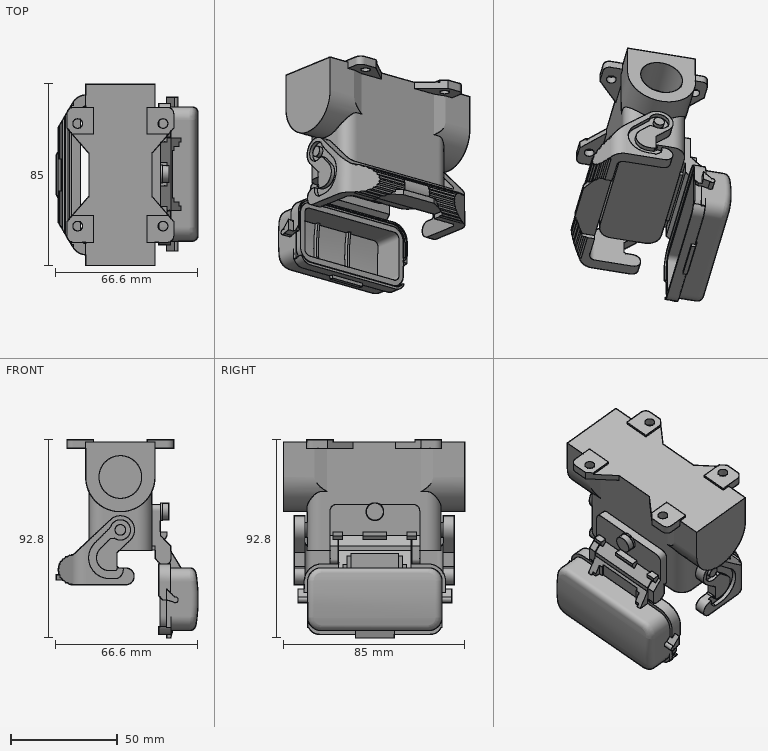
import cadquery as cq
import math


BODY_HALF_X = 14.75
BODY_HALF_Y = 31.35
BODY_BOTTOM = -51.0
BODY_CORNER_R = 6.5

ENTRY_HALF_X = 16.25
ENTRY_HALF_Y = 42.5
ENTRY_AXIS_Z = -16.5
ENTRY_STEP_Y = 27.7
ENTRY_MERGE_Y = 22.0
CABLE_HOLE_R = 10.0
CABLE_HOLE_DEPTH = 17.5

PLATE_THICKNESS = 3.15
PLATE_WAIST_Y = 10.0
PAD_HEIGHT = 1.0
PAD_INNER_X = 12.5
PAD_OUTER_X = 25.0
PAD_INNER_Y = 19.1
PAD_OUTER_Y = 31.6
PAD_SLOPE_Y = 21.9
PAD_CORNER_R = 3.0
MOUNT_HOLE_X = 20.0
MOUNT_HOLE_Y = 24.0
MOUNT_HOLE_D = 4.5

PIVOT_Z = -41.25
PIVOT_EYE_R = 6.65
PIVOT_PIN_R = 2.5
PIVOT_SPACER_R = 3.5
LEVER_HALF_Y = 37.5
LEVER_INNER_Y = 32.3
LEVER_INNER_X = -18.55
LEVER_INNER_R = 3.0
LEVER_CORNER_X = -15.8
LEVER_CORNER_R = 7.5
FACET_TURN = math.radians(59.4)
BAR_X = -22.0
BAR_Z = -59.9
BAR_R = 7.1
SLOT_X = -1.5
SLOT_TOP_Z = -51.9
HOOK_TOP_Z = -59.0
HOOK_TIP_X = 2.5
HOOK_CHAMFER = 0.7

TRACK_DEPTH = 2.0
TRACK_EYE_R = 4.75
TRACK_X = -5.1
TRACK_Z = -54.3
TRACK_OUTER_R = 9.75
TRACK_INNER_R = 6.05
TRACK_END_X = -1.6
TRACK_MOUTH_X = 1.3
TRACK_SHOULDER_Z = -45.2
TRACK_SHOULDER_X = -2.8

GROOVE_STEP = 15.0
GROOVE_DEPTH = 0.4
GROOVE_FIRST = 97.5
GROOVE_COUNT = 12
GROOVE_HALF_Y = 32.5
BADGE_HALF_Y = 7.5
BADGE_TOP_Z = -55.7
BADGE_BOTTOM_Z = -62.1

TAB_X = -30.1
TAB_HALF_Y = 9.2
TAB_TOP_Z = -62.2
TAB_BOTTOM_Z = -64.8
NOTCH_HALF_Y = 19.0
NOTCH_X = -24.5

COVER_Y = 0.35
COVER_BACK_X = 36.52
COVER_BACK_EDGE_X = 34.9
COVER_SPLIT_X = 21.6
COVER_FRONT_X = 18.55
COVER_TOP = -59.0
COVER_BOTTOM = -88.4
COVER_HALF_Y = 31.5
COVER_CORNER_R = 6.4
COVER_BACK_R = 3.0
FRONT_HALF_Y = 31.3

RIM_X = 17.9
HOOD_BACK_X = 23.4
HOOD_TOP = -57.14
HOOD_BOTTOM = -74.0
HOOD_HALF_Y = 33.1
HOOD_CORNER_R = 8.3
HOOD_CHAMFER = 1.9
HOOD_EDGE = 0.8
HOOD_RECESS_X = 18.8
LIP_BACK_X = 23.6
LIP_TOP = -86.5
LIP_BOTTOM = -90.2
LIP_CORNER_R = 5.6
LIP_GAP_BOTTOM = -89.0
LATCH_HALF_Y = 9.1
LATCH_BOTTOM = -91.85
LATCH_FRONT_X = 21.7
LATCH_SLANT = 0.9

CAVITY_HALF_Y = 28.6
CAVITY_TOP = -61.8
CAVITY_BOTTOM = -85.6
CAVITY_R = 3.0
COVER_WALL = 2.0
CAVITY_RIB_Y = 9.4
CAVITY_RIB_WIDTH = 1.2
CAVITY_RIB_HEIGHT = 2.0

PEG_HALF_Y = 36.0
PEG_TOP_Z = -68.8
PEG_TIP_X = 25.7
PEG_TIP_Z = -74.0
PEG_TIP_R = 1.35

BRACKET_FRONT_X = 18.75
BRACKET_TOP = -29.3
BRACKET_HALF_Y = 21.0
BRACKET_CORNER_R = 3.1
KNUCKLE_LEFT_X = 16.3
KNUCKLE_RIGHT_X = 23.6
KNUCKLE_TOP = -48.7
KNUCKLE_BOTTOM = -57.25
KNUCKLE_CORNER_X = 2.3
KNUCKLE_CORNER_Z = 2.6
KNUCKLE_ROUND_R = 2.1
KNUCKLE_HALF_Y = 17.0
JOINT_WIDTH = 0.3
SEAT_BOTTOM = -50.7
SEAT_HALF_Y = 15.0
STOP_X = 21.9
STOP_TOP = -42.2
STOP_EDGE_HEIGHT = 1.8
STOP_HEIGHT = 3.5
STOP_UNDERCUT = 1.1
STOP_HALF_Y = 5.5
SIDE_STOP_Y = (15.1, 19.5)
SCREW_Z = -32.7
SCREW_SHANK_R = 3.4
SCREW_HEAD_R = 4.0
SCREW_COLLAR_R = 4.15
SCREW_COLLAR_X = 19.7
SCREW_TOP_X = 22.75
GUSSET_TOP = -51.0
GUSSET_END_X = 28.4
GUSSET_STEPS = (
    (0, 11.1, 24.4),
    (11.1, 13.0, 25.1),
    (13.0, 14.9, 27.5),
    (14.9, KNUCKLE_HALF_Y, GUSSET_END_X),
)

OVERLAP = 0.5


def block(x0, x1, y0, y1, z0, z1):
    return cq.Workplane("XY").box(x1 - x0, y1 - y0, z1 - z0, centered=False).translate((x0, y0, z0))


def side_plane(y_max):
    """XZ sketch plane whose extrusions run from y_max towards -Y."""
    return cq.Workplane("XZ", origin=(0, y_max, 0))


def side_prism(points, y0, y1):
    return side_plane(y1).polyline(points).close().extrude(y1 - y0)


def rod_x(radius, y, z, x0, x1):
    return cq.Workplane("YZ", origin=(x0, y, z)).circle(radius).extrude(x1 - x0)


def rod_y(radius, x, z, y0, y1):
    return side_plane(y1).center(x, z).circle(radius).extrude(y1 - y0)


def cover_block(x0, x1, half_y, z0, z1, corner_r):
    """Block with corners rounded about X, centred on the cover."""
    sketch = cq.Workplane("YZ", origin=(x0, COVER_Y, (z0 + z1) / 2))
    return sketch.rect(2 * half_y, z1 - z0).extrude(x1 - x0).edges("|X").fillet(corner_r)


def both_sides(solid, y=0):
    return solid.union(solid.mirror("XZ", (0, y, 0)))


def make_housing():
    body = cq.Workplane("XY").rect(2 * BODY_HALF_X, 2 * BODY_HALF_Y).extrude(BODY_BOTTOM)
    body = body.edges("|Z").fillet(BODY_CORNER_R)

    entry = (
        side_plane(ENTRY_HALF_Y)
        .moveTo(-ENTRY_HALF_X, 0)
        .lineTo(-ENTRY_HALF_X, ENTRY_AXIS_Z)
        .threePointArc((0, ENTRY_AXIS_Z - ENTRY_HALF_X), (ENTRY_HALF_X, ENTRY_AXIS_Z))
        .lineTo(ENTRY_HALF_X, 0)
        .close()
        .extrude(2 * ENTRY_HALF_Y)
    )
    quarter = [
        (BODY_HALF_X, ENTRY_MERGE_Y),
        (ENTRY_HALF_X, ENTRY_STEP_Y),
        (ENTRY_HALF_X, ENTRY_HALF_Y),
    ]
    right = [(x, -y) for x, y in reversed(quarter)] + quarter
    left = [(-x, -y) for x, y in right]
    waisted = cq.Workplane("XY").polyline(right + left).close().extrude(BODY_BOTTOM)

    hole = rod_y(CABLE_HOLE_R, 0, ENTRY_AXIS_Z, -ENTRY_HALF_Y, CABLE_HOLE_DEPTH - ENTRY_HALF_Y)
    return body.union(entry.intersect(waisted)).union(make_mounting_feet()).cut(hole)


def make_mounting_feet():
    """Four feet joined to the top plate by sloping edges, each with a raised pad and a hole."""
    feet = None
    for sx in (-1, 1):
        for sy in (-1, 1):
            outline = [
                (0, PLATE_WAIST_Y),
                (BODY_HALF_X, PLATE_WAIST_Y),
                (PAD_OUTER_X, PAD_SLOPE_Y),
                (PAD_OUTER_X, PAD_OUTER_Y),
                (0, PAD_OUTER_Y),
            ]
            foot = cq.Workplane("XY", origin=(0, 0, -PLATE_THICKNESS))
            foot = foot.polyline([(sx * x, sy * y) for x, y in outline]).close()
            foot = foot.extrude(PLATE_THICKNESS + PAD_HEIGHT)
            foot = foot.edges("|Z").edges(
                cq.selectors.NearestToPointSelector((sx * PAD_OUTER_X, sy * PAD_OUTER_Y, 0))
            ).fillet(PAD_CORNER_R)
            pad_zone = block(PAD_INNER_X, PAD_OUTER_X, PAD_INNER_Y, PAD_OUTER_Y, 0, PAD_HEIGHT)
            plate_zone = block(0, PAD_OUTER_X, 0, PAD_OUTER_Y, -PLATE_THICKNESS, 0)
            zone = pad_zone.union(plate_zone)
            zone = zone if sx > 0 else zone.mirror("YZ")
            zone = zone if sy > 0 else zone.mirror("XZ")
            foot = foot.intersect(zone)
            hole = (
                cq.Workplane("XY", origin=(sx * MOUNT_HOLE_X, sy * MOUNT_HOLE_Y, -PLATE_THICKNESS))
                .circle(MOUNT_HOLE_D / 2)
                .extrude(PLATE_THICKNESS + PAD_HEIGHT)
            )
            foot = foot.cut(hole)
            feet = foot if feet is None else feet.union(foot)
    return feet


def make_lever_profile():
    """Side outline of the lever: pivot eye, arm with hook and round front bar."""
    hook_bottom = BAR_Z - BAR_R
    hook_r = (HOOK_TOP_Z - hook_bottom) / 2
    diagonal = PIVOT_EYE_R * math.sqrt(0.5)
    return (
        side_plane(LEVER_HALF_Y)
        .moveTo(diagonal, PIVOT_Z - diagonal)
        .lineTo(SLOT_X, SLOT_TOP_Z)
        .lineTo(SLOT_X, HOOK_TOP_Z + HOOK_CHAMFER)
        .lineTo(SLOT_X + HOOK_CHAMFER, HOOK_TOP_Z)
        .lineTo(HOOK_TIP_X, HOOK_TOP_Z)
        .threePointArc((HOOK_TIP_X + hook_r, HOOK_TOP_Z - hook_r), (HOOK_TIP_X, hook_bottom))
        .lineTo(BAR_X, hook_bottom)
        .threePointArc((BAR_X - BAR_R, BAR_Z), (BAR_X, BAR_Z + BAR_R))
        .lineTo(-diagonal, PIVOT_Z + diagonal)
        .threePointArc((diagonal, PIVOT_Z + diagonal), (diagonal, PIVOT_Z - diagonal))
        .close()
        .extrude(2 * LEVER_HALF_Y)
    )


def make_lever_plan():
    """Plan outline of the lever, with rounded corners running into flat facets."""
    def corner_point(turn):
        x = LEVER_CORNER_X - LEVER_CORNER_R * math.sin(turn)
        y = LEVER_HALF_Y - LEVER_CORNER_R * (1 - math.cos(turn))
        return x, y

    middle = corner_point(FACET_TURN / 2)
    facet_start = corner_point(FACET_TURN)
    bar_front = BAR_X - BAR_R
    facet_end = (bar_front, facet_start[1] - (facet_start[0] - bar_front) * math.tan(FACET_TURN))
    half = (
        cq.Workplane("XY", origin=(0, 0, BAR_Z - BAR_R))
        .moveTo(PIVOT_EYE_R, 0)
        .lineTo(PIVOT_EYE_R, LEVER_HALF_Y)
        .lineTo(LEVER_CORNER_X, LEVER_HALF_Y)
        .threePointArc(middle, facet_start)
        .lineTo(*facet_end)
        .lineTo(bar_front, 0)
        .close()
        .extrude(PIVOT_Z + PIVOT_EYE_R - BAR_Z + BAR_R)
    )
    return both_sides(half)


def make_grip_grooves():
    """V grooves around the round side of the front bar."""
    half_step = math.radians(GROOVE_STEP / 2)
    valley_r = BAR_R - GROOVE_DEPTH
    outer_r = BAR_R + GROOVE_DEPTH
    grooves = None
    for index in range(GROOVE_COUNT):
        angle = math.radians(GROOVE_FIRST + index * GROOVE_STEP)
        corners = ((valley_r, 0), (BAR_R, -half_step), (outer_r, 0), (BAR_R, half_step))
        points = [
            (BAR_X + r * math.cos(angle + offset), BAR_Z + r * math.sin(angle + offset))
            for r, offset in corners
        ]
        groove = side_prism(points, -GROOVE_HALF_Y, GROOVE_HALF_Y)
        grooves = groove if grooves is None else grooves.union(groove)
    badge = block(BAR_X - 2 * BAR_R, BAR_X, -BADGE_HALF_Y, BADGE_HALF_Y, BADGE_BOTTOM_Z, BADGE_TOP_Z)
    return grooves.cut(badge)


def make_track(y0, y1):
    """Curved track from the pivot eye round to the hook mouth."""
    def on_arc(radius, degrees):
        angle = math.radians(degrees)
        return TRACK_X + radius * math.cos(angle), TRACK_Z + radius * math.sin(angle)

    arc_start = 135
    arc_end = 270
    arc_middle = (arc_start + arc_end) / 2
    outer_start = on_arc(TRACK_OUTER_R, arc_start)
    inner_end = on_arc(TRACK_INNER_R, arc_start)
    shoulder_rise = TRACK_SHOULDER_Z - inner_end[1]
    floor_z = TRACK_Z - TRACK_OUTER_R
    bend = math.sqrt(0.5)
    eye_x = -TRACK_EYE_R * bend
    mouth_mid = (
        TRACK_END_X + (TRACK_MOUTH_X - TRACK_END_X) * bend,
        HOOK_TOP_Z - (HOOK_TOP_Z - floor_z) * bend,
    )
    track = (
        side_plane(y1)
        .moveTo(eye_x, outer_start[1] + eye_x - outer_start[0])
        .lineTo(*outer_start)
        .threePointArc(on_arc(TRACK_OUTER_R, arc_middle), on_arc(TRACK_OUTER_R, arc_end))
        .lineTo(TRACK_END_X, floor_z)
        .threePointArc(mouth_mid, (TRACK_MOUTH_X, HOOK_TOP_Z))
        .lineTo(SLOT_X, HOOK_TOP_Z)
        .lineTo(SLOT_X, TRACK_Z - TRACK_INNER_R + HOOK_CHAMFER)
        .lineTo(SLOT_X - HOOK_CHAMFER, TRACK_Z - TRACK_INNER_R)
        .lineTo(*on_arc(TRACK_INNER_R, arc_end))
        .threePointArc(on_arc(TRACK_INNER_R, arc_middle), inner_end)
        .lineTo(inner_end[0] + shoulder_rise, TRACK_SHOULDER_Z)
        .lineTo(TRACK_SHOULDER_X, TRACK_SHOULDER_Z)
        .lineTo(0, PIVOT_Z)
        .close()
        .extrude(y1 - y0)
    )
    eye = rod_y(TRACK_EYE_R, 0, PIVOT_Z, y0, y1)
    return track.union(eye).cut(rod_y(PIVOT_PIN_R, 0, PIVOT_Z, y0, y1))


def make_tab_slab(x_back, z0, z1):
    """Trapezoid widening from the tab's front edge, then running straight back."""
    outline = [
        (TAB_X, -TAB_HALF_Y),
        (NOTCH_X, -NOTCH_HALF_Y),
        (x_back, -NOTCH_HALF_Y),
        (x_back, NOTCH_HALF_Y),
        (NOTCH_X, NOTCH_HALF_Y),
        (TAB_X, TAB_HALF_Y),
    ]
    return cq.Workplane("XY", origin=(0, 0, z0)).polyline(outline).close().extrude(z1 - z0)


def make_lever():
    bar_bottom = BAR_Z - BAR_R
    lever = make_lever_profile().intersect(make_lever_plan()).cut(make_grip_grooves())
    opening = block(
        LEVER_INNER_X, 2 * PIVOT_EYE_R, -LEVER_INNER_Y, LEVER_INNER_Y, bar_bottom, PIVOT_Z + PIVOT_EYE_R
    )
    lever = lever.cut(opening.edges("|Z and <X").fillet(LEVER_INNER_R))
    lever = lever.cut(make_tab_slab(LEVER_INNER_X, bar_bottom, TAB_BOTTOM_Z))
    lever = lever.union(make_tab_slab(BAR_X, TAB_BOTTOM_Z, TAB_TOP_Z))

    lever = lever.cut(both_sides(make_track(-LEVER_HALF_Y, TRACK_DEPTH - LEVER_HALF_Y)))
    spacer = rod_y(PIVOT_SPACER_R, 0, PIVOT_Z, -LEVER_INNER_Y - OVERLAP, OVERLAP - BODY_HALF_Y)
    return lever.union(both_sides(spacer))


def make_bow(inset):
    """Space in front of the bowed back of the cover, moved forward by inset."""
    middle_z = (COVER_TOP + COVER_BOTTOM) / 2
    edge_x = COVER_BACK_EDGE_X - inset
    return (
        side_plane(COVER_Y + HOOD_HALF_Y)
        .moveTo(0, COVER_TOP)
        .lineTo(edge_x, COVER_TOP)
        .threePointArc((COVER_BACK_X - inset, middle_z), (edge_x, COVER_BOTTOM))
        .lineTo(0, COVER_BOTTOM)
        .close()
        .extrude(2 * HOOD_HALF_Y)
    )


def make_cavity():
    cavity = cover_block(
        RIM_X, COVER_BACK_X, CAVITY_HALF_Y, CAVITY_BOTTOM, CAVITY_TOP, CAVITY_R
    ).intersect(make_bow(COVER_WALL))
    below_ribs = make_bow(COVER_WALL + CAVITY_RIB_HEIGHT)
    for side in (-1, 1):
        y = COVER_Y + side * CAVITY_RIB_Y
        half = CAVITY_RIB_WIDTH / 2
        rib = block(RIM_X, COVER_BACK_X, y - half, y + half, CAVITY_BOTTOM, CAVITY_TOP)
        cavity = cavity.cut(rib.cut(below_ribs))
    return cavity


def make_hood():
    """Raised rim over the upper half of the cover opening."""
    hood = cover_block(RIM_X, HOOD_BACK_X, HOOD_HALF_Y, COVER_BOTTOM, HOOD_TOP, HOOD_CORNER_R)
    side = [
        (RIM_X, HOOD_TOP),
        (HOOD_BACK_X, HOOD_TOP),
        (HOOD_BACK_X, HOOD_BOTTOM),
        (RIM_X + HOOD_CHAMFER, HOOD_BOTTOM),
        (RIM_X, HOOD_BOTTOM + HOOD_CHAMFER),
    ]
    recess = cover_block(
        RIM_X,
        HOOD_RECESS_X,
        HOOD_HALF_Y - HOOD_EDGE,
        COVER_BOTTOM,
        HOOD_TOP - HOOD_EDGE,
        HOOD_CORNER_R - HOOD_EDGE,
    )
    return hood.cut(recess).intersect(side_prism(side, COVER_Y - HOOD_HALF_Y, COVER_Y + HOOD_HALF_Y))


def make_lower_lip():
    lip = cover_block(RIM_X, LIP_BACK_X, COVER_HALF_Y, LIP_BOTTOM, COVER_TOP, LIP_CORNER_R)
    y0 = COVER_Y - COVER_HALF_Y
    y1 = COVER_Y + COVER_HALF_Y
    gap = cover_block(RIM_X, COVER_SPLIT_X, FRONT_HALF_Y, LIP_GAP_BOTTOM, COVER_TOP, LIP_CORNER_R)
    lip = lip.cut(gap).intersect(block(RIM_X, LIP_BACK_X, y0, y1, LIP_BOTTOM, LIP_TOP))
    skirt = block(COVER_SPLIT_X, LIP_BACK_X, y0, y1, LIP_TOP - OVERLAP, HOOD_BOTTOM)
    latch = [
        (LATCH_FRONT_X, LIP_TOP),
        (LATCH_FRONT_X, LATCH_BOTTOM),
        (LIP_BACK_X, LATCH_BOTTOM),
        (LIP_BACK_X + LATCH_SLANT, COVER_BOTTOM),
        (LIP_BACK_X + LATCH_SLANT, LIP_TOP),
    ]
    tongue = side_prism(latch, COVER_Y - LATCH_HALF_Y, COVER_Y + LATCH_HALF_Y)
    return lip.union(skirt).union(tongue)


def make_locking_pegs():
    """Beak-shaped pegs on both cover sides that the lever hooks onto."""
    diagonal = PEG_TIP_R * math.sqrt(0.5)
    slope_end_z = PEG_TIP_Z + PEG_TIP_R
    slope_end_x = COVER_SPLIT_X + PEG_TOP_Z - slope_end_z
    peg = (
        side_plane(COVER_Y - CAVITY_HALF_Y - OVERLAP)
        .moveTo(COVER_SPLIT_X, PEG_TOP_Z)
        .lineTo(slope_end_x, slope_end_z)
        .threePointArc((PEG_TIP_X + PEG_TIP_R, PEG_TIP_Z), (PEG_TIP_X - diagonal, PEG_TIP_Z - diagonal))
        .lineTo(COVER_SPLIT_X, HOOD_BOTTOM)
        .close()
        .extrude(PEG_HALF_Y - CAVITY_HALF_Y - OVERLAP)
    )
    return both_sides(peg, COVER_Y)


def make_cover():
    shell = cover_block(
        COVER_SPLIT_X, COVER_BACK_X, COVER_HALF_Y, COVER_BOTTOM, COVER_TOP, COVER_CORNER_R
    ).intersect(make_bow(0))
    shell = shell.faces(">X").edges().fillet(COVER_BACK_R)
    front = cover_block(
        COVER_FRONT_X, COVER_SPLIT_X + OVERLAP, FRONT_HALF_Y, COVER_BOTTOM, COVER_TOP, COVER_CORNER_R
    )
    cover = shell.union(front).union(make_hood()).union(make_lower_lip())
    return cover.cut(make_cavity()).union(make_locking_pegs())


def make_stop(y0, y1):
    root_x = BRACKET_FRONT_X - OVERLAP
    stop_bottom = STOP_TOP - STOP_HEIGHT
    side = [
        (root_x, STOP_TOP),
        (STOP_X, STOP_TOP),
        (STOP_X, STOP_TOP - STOP_EDGE_HEIGHT),
        (STOP_X - STOP_UNDERCUT, stop_bottom),
        (root_x, stop_bottom),
    ]
    return side_prism(side, y0, y1)


def make_bracket():
    """Plate on the housing flank with a hinge knuckle along its lower edge."""
    y0 = COVER_Y - BRACKET_HALF_Y
    y1 = COVER_Y + BRACKET_HALF_Y
    root_x = BODY_HALF_X - OVERLAP
    bend = KNUCKLE_ROUND_R * math.sqrt(0.5)
    round_x = KNUCKLE_RIGHT_X - KNUCKLE_ROUND_R
    round_z = KNUCKLE_BOTTOM + KNUCKLE_ROUND_R
    knuckle_slope_z = KNUCKLE_TOP + KNUCKLE_RIGHT_X - BRACKET_FRONT_X
    bracket = (
        side_plane(y1)
        .moveTo(root_x, BRACKET_TOP)
        .lineTo(BRACKET_FRONT_X, BRACKET_TOP)
        .lineTo(BRACKET_FRONT_X, knuckle_slope_z)
        .lineTo(KNUCKLE_RIGHT_X, KNUCKLE_TOP)
        .lineTo(KNUCKLE_RIGHT_X, round_z)
        .threePointArc((round_x + bend, round_z - bend), (round_x, KNUCKLE_BOTTOM))
        .lineTo(KNUCKLE_LEFT_X + KNUCKLE_CORNER_X, KNUCKLE_BOTTOM)
        .lineTo(KNUCKLE_LEFT_X, KNUCKLE_BOTTOM + KNUCKLE_CORNER_Z)
        .lineTo(KNUCKLE_LEFT_X, KNUCKLE_TOP)
        .lineTo(root_x, KNUCKLE_TOP)
        .close()
        .extrude(y1 - y0)
    )
    bracket = bracket.edges("|X and >Z").fillet(BRACKET_CORNER_R)
    joint_y = COVER_Y + KNUCKLE_HALF_Y
    joint = block(
        BRACKET_FRONT_X, KNUCKLE_RIGHT_X, joint_y, joint_y + JOINT_WIDTH, KNUCKLE_BOTTOM, knuckle_slope_z
    )
    seat = block(
        root_x,
        KNUCKLE_LEFT_X + OVERLAP,
        COVER_Y - SEAT_HALF_Y,
        COVER_Y + SEAT_HALF_Y,
        SEAT_BOTTOM,
        KNUCKLE_TOP + OVERLAP,
    )
    return bracket.cut(both_sides(joint, COVER_Y)).union(seat)


def make_hinge():
    root_x = BODY_HALF_X - OVERLAP
    hinge = make_bracket()
    hinge = hinge.union(make_stop(COVER_Y - STOP_HALF_Y, COVER_Y + STOP_HALF_Y))
    side_stop = make_stop(COVER_Y + SIDE_STOP_Y[0], COVER_Y + SIDE_STOP_Y[1])
    hinge = hinge.union(both_sides(side_stop, COVER_Y))

    hinge = hinge.union(rod_x(SCREW_SHANK_R, COVER_Y, SCREW_Z, root_x, SCREW_COLLAR_X))
    hinge = hinge.union(rod_x(SCREW_COLLAR_R, COVER_Y, SCREW_Z, BRACKET_FRONT_X, SCREW_COLLAR_X))
    hinge = hinge.union(rod_x(SCREW_HEAD_R, COVER_Y, SCREW_Z, SCREW_COLLAR_X, SCREW_TOP_X))
    return hinge.union(make_gussets())


def make_gussets():
    """Stepped ribs bracing the cover top against the hinge knuckle."""
    foot_z = COVER_TOP - OVERLAP
    root_x = KNUCKLE_RIGHT_X - OVERLAP
    slope = (COVER_TOP - GUSSET_TOP) / (GUSSET_END_X - KNUCKLE_RIGHT_X)
    gussets = None
    for near, far, end_x in GUSSET_STEPS:
        end_z = GUSSET_TOP + slope * (end_x - KNUCKLE_RIGHT_X)
        side = [
            (root_x, foot_z),
            (root_x, GUSSET_TOP),
            (KNUCKLE_RIGHT_X, GUSSET_TOP),
            (end_x, end_z),
            (end_x, foot_z),
        ]
        rib = both_sides(side_prism(side, COVER_Y + near, COVER_Y + far), COVER_Y)
        gussets = rib if gussets is None else gussets.union(rib)
    return gussets


result = make_housing().union(make_lever()).union(make_cover()).union(make_hinge())